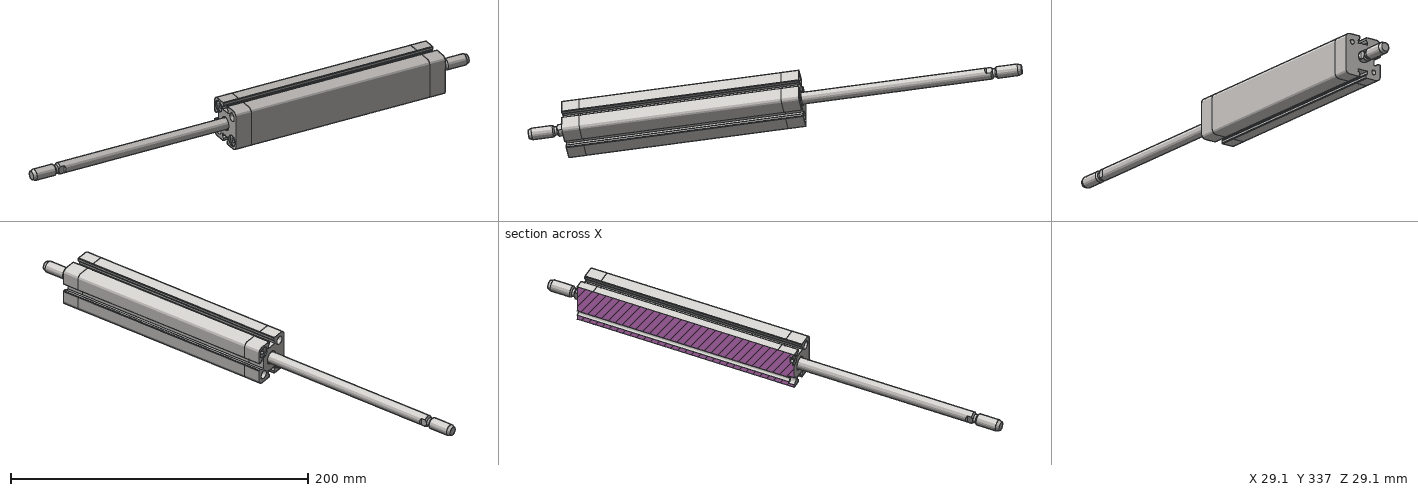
import cadquery as cq


stroke = 125.0
body_length = 37.0 + stroke
cap_length = 12.0
cap_width = 29.05
tube_width = 29.0
corner_radius = 3.5

slot_mouth_width = 5.2
slot_mouth_chamfer = 0.45
slot_inner_width = 7.6
slot_lip_depth = 2.0
slot_taper_depth = 3.5
slot_depth = 5.2

hole_offset = 9.0
screw_bore_diameter = 8.0
screw_bore_depth = 1.0
screw_socket_across_flats = 3.3
screw_socket_depth = 2.0
mount_bore_diameter = 6.0
mount_bore_depth = 4.0
through_diameter = 3.24

rod_diameter = 8.0
rod_rear_reach = 25.0
rod_front_reach = rod_rear_reach + stroke
tip_diameter = 6.0
tip_chamfer_length = 2.3
thread_length = 16.7
undercut_diameter = 5.8
undercut_end = 20.6
flats_width = 6.0
flats_end = 23.6
bearing_diameter = 9.6
bearing_depth = 2.0


def cylinder(x, z, start, diameter, length):
    """Round bar along +Y from Y = start, centred at (x, z)."""
    axis = cq.Vector(0, 1, 0)
    return cq.Workplane(cq.Solid.makeCylinder(diameter / 2, length, cq.Vector(x, start, z), axis))


def hex_socket(x, z, start):
    """Hexagonal screw socket at (x, z), with corners pointing along +X and -X."""
    hexagon = cq.Workplane("XZ", origin=(x, start, z))
    return hexagon.polygon(6, screw_socket_across_flats, circumscribed=True).extrude(-screw_socket_depth)


def sensor_slot(width, start, length):
    """Undercut slot along Y in the top face of a square block of the given width."""
    face = width / 2
    half_mouth = slot_mouth_width / 2
    half_inner = slot_inner_width / 2
    right_side = [
        (half_mouth + slot_mouth_chamfer, face),
        (half_mouth, face - slot_mouth_chamfer),
        (half_mouth, face - slot_lip_depth),
        (half_inner, face - slot_taper_depth),
        (half_inner, face - slot_depth),
    ]
    left_side = [(-x, z) for x, z in reversed(right_side)]
    plane = cq.Workplane("XZ", origin=(0, start, 0))
    return plane.polyline(right_side + left_side).close().extrude(-length)


def profile_block(width, start, length):
    """Rounded square block along Y with sensor slots in its -X, +Z and -Z faces."""
    block = cq.Workplane("XZ", origin=(0, start, 0)).rect(width, width).extrude(-length)
    block = block.edges("|Y").fillet(corner_radius)
    slot = sensor_slot(width, start, length)
    for angle in (-90, 0, 180):
        block = block.cut(slot.rotate((0, 0, 0), (0, 1, 0), angle))
    return block


def body():
    """Tube and end caps with the holes in the front face and the rod opening."""
    shape = profile_block(tube_width, cap_length, body_length - 2 * cap_length)
    for cap_start in (0, body_length - cap_length):
        shape = shape.union(profile_block(cap_width, cap_start, cap_length))
    for x in (-hole_offset, hole_offset):
        shape = shape.cut(cylinder(x, -x, 0, screw_bore_diameter, screw_bore_depth))
        shape = shape.cut(hex_socket(x, -x, screw_bore_depth))
        shape = shape.cut(cylinder(x, x, 0, mount_bore_diameter, mount_bore_depth))
        shape = shape.cut(cylinder(x, x, 0, through_diameter, body_length))
    return shape.cut(cylinder(0, 0, 0, bearing_diameter, bearing_depth))


def rod_end(length):
    """Rod with its tip at Y = 0, running towards +Y: chamfer, thread, undercut and wrench flats."""
    radius = rod_diameter / 2
    neck_radius = undercut_diameter / 2
    slope = radius - neck_radius
    half_section = [
        (0, 0),
        (tip_diameter / 2, 0),
        (radius, tip_chamfer_length),
        (radius, thread_length),
        (neck_radius, thread_length + slope),
        (neck_radius, undercut_end - slope),
        (radius, undercut_end),
        (radius, length),
        (0, length),
    ]
    rod = cq.Workplane("XY").polyline(half_section).close().revolve(360, (0, 0, 0), (0, 1, 0))

    flat_x = flats_width / 2
    runout = radius - flat_x
    flat = (
        cq.Workplane("XY")
        .polyline(
            [
                (flat_x, thread_length + slope),
                (flat_x, flats_end),
                (radius, flats_end + runout),
                (radius, thread_length + slope),
            ]
        )
        .close()
        .extrude(radius, both=True)
    )
    return rod.cut(flat).cut(flat.mirror("YZ"))


middle = body_length / 2
front_rod = rod_end(rod_front_reach + middle).translate((0, -rod_front_reach, 0))
rear_rod = rod_end(rod_rear_reach + middle).mirror("XZ").translate((0, body_length + rod_rear_reach, 0))

result = body().union(front_rod).union(rear_rod)